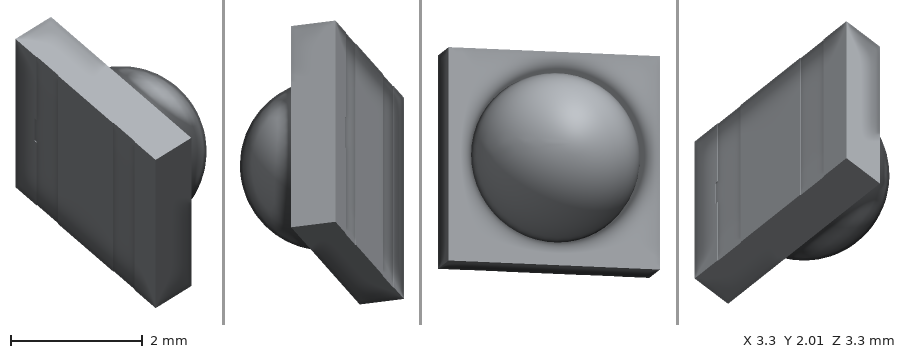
import cadquery as cq

plate_side = 3.3
substrate_thickness = 0.7

pad_thickness = 0.01
edge_pad_width = 0.5
pad_gap = 0.5
centre_pad_width = plate_side - 2 * (edge_pad_width + pad_gap)

notch_depth = 0.05
notch_height = 0.5

lens_radius = 1.3

contact_plane_y = -substrate_thickness


def make_substrate():
    return cq.Workplane("XY").box(plate_side, substrate_thickness, plate_side).translate(
        (0, -substrate_thickness / 2, 0)
    )


def make_pad(centre_x, width):
    """Full-height strip raised from the contact face toward -Y."""
    return (
        cq.Workplane("XZ", origin=(centre_x, contact_plane_y, 0))
        .rect(width, plate_side)
        .extrude(pad_thickness)
    )


def make_notch():
    inner_edge_x = -plate_side / 2 + edge_pad_width
    return (
        cq.Workplane("XZ", origin=(inner_edge_x - notch_depth / 2, contact_plane_y, 0))
        .rect(notch_depth, notch_height)
        .extrude(pad_thickness)
    )


def make_lens():
    """Quarter disc revolved about the Y axis into a hemisphere."""
    return (
        cq.Workplane("XY")
        .lineTo(lens_radius, 0)
        .radiusArc((0, lens_radius), -lens_radius)
        .close()
        .revolve(360, (0, 0, 0), (0, 1, 0))
    )


edge_pad_x = (plate_side - edge_pad_width) / 2

result = make_substrate().union(make_lens())
result = result.union(make_pad(0, centre_pad_width))
result = result.union(make_pad(edge_pad_x, edge_pad_width))
result = result.union(make_pad(-edge_pad_x, edge_pad_width).cut(make_notch()))